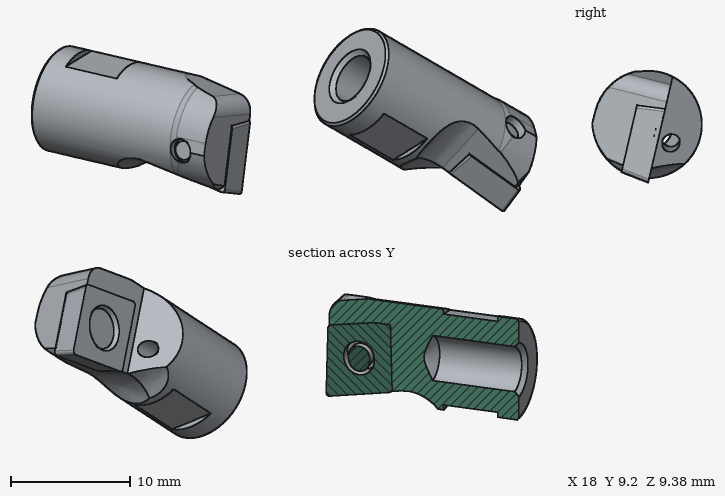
import cadquery as cq
import math


length = 18.0
shank_radius = 4.5
rim_chamfer = 0.2
flat_start = 2.0
flat_length = 5.0
flat_height = 4.0

bore_radius = 4.2 / 2
bore_depth = 8.0
bore_tip_angle = 118.0
bore_mouth_chamfer = 0.4

coolant_radius = 1.5 / 2
coolant_start = (7.2, 1.9, -1.12)
coolant_drop = 8.0
coolant_length = 4.5

neck_start = 13.72
neck_end = 14.3
head_radius = 4.57
head_reach = 4.7
band_angle = 14.5
relief_radius = 4.55
relief_angle = 28.0

rake = 13.0
tip_drop = 4.88
edge_length = 6.45
edge_slope = 10.0
insert_thickness = 2.38
clearance = 7.0
nose_radius = 0.3
insert_hole_radius = 2.8 / 2
insert_sink_radius = 3.85 / 2
sink_angle = 60.0

screw_radius = 2.05 / 2
screw_head_radius = 3.4 / 2
screw_length = 4.66
screw_end_chamfer = 0.23

pocket_foot = 11.0
pocket_wall_angle = 57.0
end_reach = 17.91
end_draft = 7.2
top_start = 11.99
top_end_radius = 1.5
gullet_radius = 4.0
underside_gap = 0.04
underside_draft = 9.0
gullet_side_rise = 23.0
corner_chamfer = 0.5

reach = 7.2
past_end = length + reach


def tan(angle):
    return math.tan(math.radians(angle))


def sin(angle):
    return math.sin(math.radians(angle))


def cos(angle):
    return math.cos(math.radians(angle))


insert_face = tip_drop * sin(rake)
nose_loss = nose_radius * ((1 + sin(edge_slope)) / cos(edge_slope) - 1)
corner_z = -tip_drop * cos(rake) - nose_loss
insert_center_x = length - edge_length * cos(edge_slope) / 2
insert_center_z = corner_z + edge_length * (1 + sin(edge_slope)) / 2


def tilt(body):
    """Turn a body from the upright frame into its place on the shank."""
    return body.rotate((0, 0, 0), (1, 0, 0), -rake)


def square_to_y(y):
    """Workplane at the given Y: local x along X, local y along Z, extruding towards -Y."""
    return cq.Workplane("XZ", origin=(0, y, 0))


def from_minus_y(radius, angle):
    """Point of a YZ section; the angle is measured upwards from the -Y direction."""
    return (-radius * cos(angle), radius * sin(angle))


def screw_axis_bar(y, bar_length, radius):
    """Round bar on the screw axis that starts at the given Y and runs towards -Y."""
    return square_to_y(y).center(insert_center_x, insert_center_z).circle(radius).extrude(bar_length)


def screw_axis_cone(y, start_radius, end_radius):
    """Cone on the screw axis with the countersink angle, narrowing towards -Y."""
    cone_length = (start_radius - end_radius) / tan(sink_angle / 2)
    apex_side = cq.Vector(0, -1, 0)
    base_center = cq.Vector(insert_center_x, y, insert_center_z)
    return cq.Workplane(cq.Solid.makeCone(start_radius, end_radius, cone_length, base_center, apex_side))




def make_insert_blank():
    """Solid plate without its hole, upright; its flanks lean in by the clearance angle."""
    far_x = length - edge_length * cos(edge_slope)
    edge_rise = edge_length * sin(edge_slope)
    plate = (
        square_to_y(insert_face)
        .polyline([
            (length, corner_z),
            (length, corner_z + edge_length),
            (far_x, corner_z + edge_length + edge_rise),
            (far_x, corner_z + edge_rise),
        ])
        .close()
        .extrude(insert_thickness, taper=clearance)
    )
    mid_y = insert_face - insert_thickness / 2
    corner_edges = cq.selectors.BoxSelector((0, mid_y - 0.18, -past_end), (past_end, mid_y + 0.18, past_end))
    return plate.edges(corner_edges).fillet(nose_radius)


def make_insert():
    hole = screw_axis_bar(insert_face, insert_thickness, insert_hole_radius)
    sink = screw_axis_cone(insert_face, insert_sink_radius, insert_hole_radius)
    return tilt(make_insert_blank().cut(hole).cut(sink))


def make_screw():
    """Countersunk screw whose head rests on the cone of the insert."""
    head_top = insert_face - (insert_sink_radius - screw_head_radius) / tan(sink_angle / 2)
    stem = screw_axis_bar(head_top, screw_length, screw_radius)
    stem = stem.faces("<Y").chamfer(screw_end_chamfer)
    return tilt(stem.union(screw_axis_cone(head_top, screw_head_radius, screw_radius)))




def make_shank():
    shank = cq.Workplane("YZ").circle(shank_radius).extrude(neck_start)
    shank = shank.faces("<X").chamfer(rim_chamfer)
    for side in (1, -1):
        flat_waste = (
            cq.Workplane("XY")
            .box(flat_length, 2 * reach, reach, centered=(False, True, True))
            .translate((flat_start, 0, side * (flat_height + reach / 2)))
        )
        shank = shank.cut(flat_waste)
    return shank


def make_head():
    """Section with a straight band tangent to the head arc, blended into the shank by a cone."""
    head_length = length - neck_start
    band_start = from_minus_y(head_radius, band_angle)
    band_end_z = (head_radius - head_reach * cos(band_angle)) / sin(band_angle)
    head = (
        cq.Workplane("YZ", origin=(neck_start, 0, 0))
        .moveTo(*band_start)
        .lineTo(-head_reach, band_end_z)
        .threePointArc(from_minus_y(relief_radius, -relief_angle), (0, -head_radius))
        .threePointArc((head_radius, 0), band_start)
        .close()
        .extrude(head_length)
    )
    neck_slope = (head_radius - shank_radius) / (neck_end - neck_start)
    cone_end_radius = shank_radius + neck_slope * head_length
    cone_start = cq.Vector(neck_start, 0, 0)
    cone = cq.Solid.makeCone(shank_radius, cone_end_radius, head_length, cone_start, cq.Vector(1, 0, 0))
    return head.intersect(cq.Workplane(cone))


def make_pocketed_block():
    """Block around the shank with the chip pocket cut from +Y and the slanted end face."""
    wall_run = (reach - insert_face) / tan(pocket_wall_angle)
    end_run = (reach + insert_face) * tan(end_draft)
    return (
        cq.Workplane("XY", origin=(0, 0, -reach))
        .polyline([
            (0, -reach),
            (end_reach - end_run, -reach),
            (end_reach, insert_face),
            (pocket_foot, insert_face),
            (pocket_foot - wall_run, reach),
            (0, reach),
        ])
        .close()
        .extrude(2 * reach)
    )


def slope_top(block):
    """Cut the top parallel to the insert's lower edge and round it into the end face."""

    def top_z(x):
        return shank_radius - (x - top_start) * tan(edge_slope)

    waste = (
        square_to_y(reach)
        .polyline([(0, top_z(0)), (past_end, top_z(past_end)), (past_end, 2 * reach), (0, 2 * reach)])
        .close()
        .extrude(2 * reach)
    )
    end_edge = cq.NearestToPointSelector((end_reach, 0, top_z(end_reach)))
    return block.cut(waste).edges(end_edge).fillet(top_end_radius)


def cut_underside(block):
    """Cut the gullet arc and the underside that runs on from it along the insert's lower edge."""

    def underside_z(x):
        return corner_z + underside_gap + (length - x) * tan(edge_slope)

    center_x = pocket_foot - gullet_radius * sin(edge_slope)
    center_z = underside_z(pocket_foot) - gullet_radius * cos(edge_slope)
    gullet_start_x = center_x - gullet_radius
    outline = (
        square_to_y(insert_face)
        .moveTo(past_end, underside_z(past_end))
        .lineTo(pocket_foot, underside_z(pocket_foot))
        .threePointArc((center_x, center_z + gullet_radius), (gullet_start_x, center_z))
        .lineTo(gullet_start_x, -2 * reach)
        .lineTo(past_end, -2 * reach)
        .close()
        .val()
    )
    sweep = 2 * reach
    towards_back = cq.Vector(0, -sweep, sweep * tan(underside_draft))
    towards_pocket = cq.Vector(0, sweep, sweep * tan(gullet_side_rise))
    for direction in (towards_back, towards_pocket):
        block = block.cut(cq.Workplane(cq.Solid.extrudeLinear(outline, [], direction)))
    end_edge = cq.NearestToPointSelector((end_reach, 0, corner_z))
    return block.edges(end_edge).chamfer(corner_chamfer)


def make_bore():
    tip_length = bore_radius / tan(bore_tip_angle / 2)
    return (
        cq.Workplane("XY")
        .polyline([
            (0, 0),
            (0, bore_radius + bore_mouth_chamfer),
            (bore_mouth_chamfer, bore_radius),
            (bore_depth, bore_radius),
            (bore_depth + tip_length, 0),
        ])
        .close()
        .revolve(360, (0, 0, 0), (1, 0, 0))
    )


def make_coolant_hole():
    direction = cq.Vector(cos(coolant_drop), 0, -sin(coolant_drop))
    start = cq.Vector(*coolant_start)
    return cq.Workplane(cq.Solid.makeCylinder(coolant_radius, coolant_length, start, direction))


def make_housing():
    cutting_end = tilt(cut_underside(slope_top(make_pocketed_block())))
    insert_seat = tilt(make_insert_blank())
    screw_hole = tilt(screw_axis_bar(insert_face, 2 * reach, screw_radius))
    return (
        make_shank()
        .union(make_head())
        .intersect(cutting_end)
        .cut(make_bore())
        .cut(make_coolant_hole())
        .cut(insert_seat)
        .cut(screw_hole)
    )


housing = make_housing().solids()
insert = make_insert().solids()
screw = make_screw().solids()

result = cq.Compound.makeCompound([housing.val(), insert.val(), screw.val()])